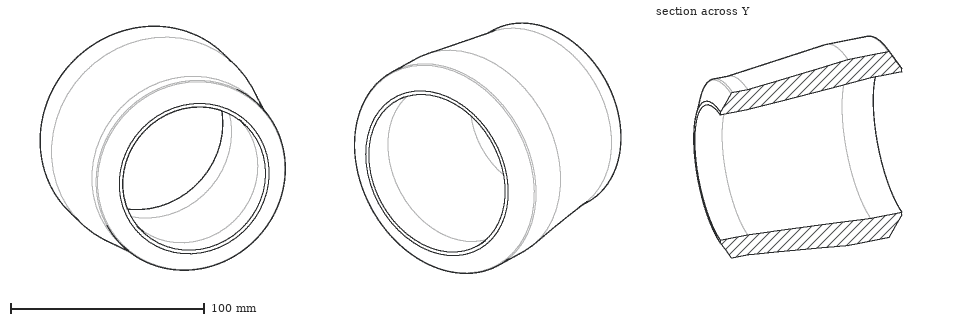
import cadquery as cq
import math

length = 100.0
large_outer_radius = 114.3 / 2
large_bore_radius = 86.0 / 2
small_outer_radius = 101.6 / 2
small_bore_radius = 76.6 / 2

taper_start = 29.8
bore_taper_start = 17.3
taper_end = 85.0
land = 2.0
bevel_angle = 30
edge_rounding = 1.0


def bevel_depth(outer_radius, bore_radius):
    """Axial depth of a weld bevel that leaves the flat land at the bore."""
    return (outer_radius - bore_radius - land) * math.tan(math.radians(bevel_angle))


large_bevel_end = bevel_depth(large_outer_radius, large_bore_radius)
small_bevel_start = length - bevel_depth(small_outer_radius, small_bore_radius)

wall_section = (
    cq.Workplane("XY")
    .moveTo(0, large_bore_radius)
    .lineTo(0, large_bore_radius + land)
    .lineTo(large_bevel_end, large_outer_radius)
    .lineTo(taper_start, large_outer_radius)
    .lineTo(taper_end, small_outer_radius)
    .lineTo(small_bevel_start, small_outer_radius)
    .lineTo(length, small_bore_radius + land)
    .lineTo(length, small_bore_radius)
    .lineTo(taper_end, small_bore_radius)
    .lineTo(bore_taper_start, large_bore_radius)
    .close()
)
reducer = wall_section.revolve(360, (0, 0, 0), (1, 0, 0))


for bevel_edge in (large_bevel_end, small_bevel_start):
    edge_finder = cq.selectors.NearestToPointSelector((bevel_edge, 0, 0))
    reducer = reducer.edges("%CIRCLE").edges(edge_finder).fillet(edge_rounding)

result = reducer